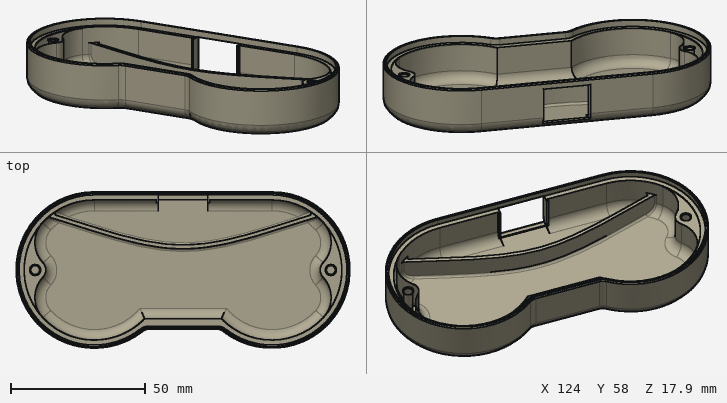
import cadquery as cq
import math

length = 124.0
depth = 58.0
height = 17.9
lobe_radius = depth / 2
lobe_x = length / 2 - lobe_radius
front_y = -22.0
waist_radius = 4.0
bottom_chamfer = 2.5
bottom_rounding = 4.0
rim_chamfer = 0.5

lip_thickness = 1.1
lip_height = 2.5
ledge_z = height - lip_height

wall = 3.0
floor_z = 1.0
cavity_radius = lobe_radius - wall
cavity_front_y = -18.1
floor_rounding = 4.0

boss_x = 54.9
boss_radius = 4.0
boss_blend_radius = 10.9
boss_drop = 0.2
boss_top_z = ledge_z - boss_drop
hole_diameter = 3.3
hole_mouth_diameter = 4.1
hole_depth = 9.9

window_width = 18.2
sill_z = 1.5
rib_width = 0.7
rib_depth = 1.1

divider_thickness = 1.5
divider_top_z = 9.3
divider_middle_y = 8.5
divider_end_x = 50.8
divider_end_y = 20.7
divider_end_slope = 0.3
divider_rounding = 0.9


def block(x_range, y_range, z_range):
    """Box between the given limits."""
    sizes = [high - low for low, high in (x_range, y_range, z_range)]
    corner = (x_range[0], y_range[0], z_range[0])
    return cq.Workplane("XY").box(*sizes, centered=False).translate(corner)


def shell_outline(inset, z):
    """Outer outline at height z, moved inwards by inset, with rounded waist corners."""
    radius = lobe_radius - inset
    front = front_y + inset
    waist = waist_radius + inset
    waist_y = front - waist
    reach = radius + waist
    waist_x = lobe_x - math.sqrt(reach**2 - waist_y**2)
    tangent_x = lobe_x + (waist_x - lobe_x) * radius / reach
    tangent_y = waist_y * radius / reach
    tangent_angle = math.atan2(tangent_y - waist_y, tangent_x - waist_x)
    middle_angle = (math.pi / 2 + tangent_angle) / 2
    middle_x = waist_x + waist * math.cos(middle_angle)
    middle_y = waist_y + waist * math.sin(middle_angle)
    return (
        cq.Workplane("XY", origin=(0, 0, z))
        .moveTo(-lobe_x, radius)
        .lineTo(lobe_x, radius)
        .threePointArc((lobe_x + radius, 0), (tangent_x, tangent_y))
        .threePointArc((middle_x, middle_y), (waist_x, front))
        .lineTo(-waist_x, front)
        .threePointArc((-middle_x, middle_y), (-tangent_x, tangent_y))
        .threePointArc((-lobe_x - radius, 0), (-lobe_x, radius))
        .close()
    )


def outer_body():
    """Solid body with a chamfered, softened bottom and a small rim chamfer."""
    body = shell_outline(0, 0).extrude(height)
    body = body.faces("<Z").chamfer(bottom_chamfer)
    body = body.edges(
        cq.selectors.BoxSelector(
            (-length, -depth, bottom_chamfer / 2),
            (length, depth, bottom_chamfer * 1.5),
        )
    ).fillet(bottom_rounding)
    return body.faces(">Z").chamfer(rim_chamfer)


def lobe_outline():
    """Right lobe of the cavity, swerving around the screw boss."""
    boss_to_blend = boss_radius + boss_blend_radius
    lobe_to_blend = cavity_radius - boss_blend_radius
    spacing = boss_x - lobe_x
    offset_x = (lobe_to_blend**2 - boss_to_blend**2 + spacing**2) / (2 * spacing)
    blend_x = lobe_x + offset_x
    blend_y = math.sqrt(lobe_to_blend**2 - offset_x**2)
    lobe_angle = math.atan2(blend_y, offset_x)
    boss_angle = math.atan2(blend_y, boss_x - blend_x)
    blend_angle = (lobe_angle - boss_angle) / 2
    lobe_tangent_x = lobe_x + cavity_radius * math.cos(lobe_angle)
    lobe_tangent_y = cavity_radius * math.sin(lobe_angle)
    boss_tangent_x = boss_x - boss_radius * math.cos(boss_angle)
    boss_tangent_y = boss_radius * math.sin(boss_angle)
    blend_middle_x = blend_x + boss_blend_radius * math.cos(blend_angle)
    blend_middle_y = blend_y + boss_blend_radius * math.sin(blend_angle)
    return (
        cq.Workplane("XY", origin=(0, 0, floor_z))
        .moveTo(lobe_tangent_x, -lobe_tangent_y)
        .threePointArc((lobe_x - cavity_radius, 0), (lobe_tangent_x, lobe_tangent_y))
        .threePointArc((blend_middle_x, blend_middle_y), (boss_tangent_x, boss_tangent_y))
        .threePointArc((boss_x - boss_radius, 0), (boss_tangent_x, -boss_tangent_y))
        .threePointArc((blend_middle_x, -blend_middle_y), (lobe_tangent_x, -lobe_tangent_y))
        .close()
    )


def cavity():
    """Space inside the walls, with a rounded floor edge."""
    lobe = lobe_outline().extrude(height).faces("<Z").edges().fillet(floor_rounding)
    middle = block(
        (-lobe_x, lobe_x),
        (cavity_front_y, cavity_radius),
        (floor_z, floor_z + height),
    )
    middle = middle.edges("|X and <Z").fillet(floor_rounding)
    return middle.union(lobe).union(lobe.mirror("YZ"))


def divider_edge(plan, start_side, offset):
    """Add one long edge of the divider, from the end at start_side to the other end."""
    end_y = divider_end_y + offset
    return plan.lineTo(start_side * divider_end_x, end_y).spline(
        [(0, divider_middle_y + offset), (-start_side * divider_end_x, end_y)],
        tangents=[(-start_side, -divider_end_slope), (-start_side, divider_end_slope)],
        includeCurrent=True,
    )


def divider():
    """Curved wall that splits the cavity, reaching below the floor surface."""
    half = divider_thickness / 2
    plan = cq.Workplane("XY").moveTo(-divider_end_x, divider_end_y - half)
    plan = divider_edge(plan, -1, half)
    plan = divider_edge(plan, 1, -half)
    return plan.close().extrude(divider_top_z)


def divided_cavity():
    """Cavity less the divider, rounded where the divider meets floor and walls."""
    space = cavity().cut(divider())
    joints = (
        space.faces("%EXTRUSION")
        .edges()
        .filter(lambda edge: edge.Center().z < divider_top_z - divider_rounding)
    )
    return joints.fillet(divider_rounding)


def boss_recess():
    """Space above the boss tops, bounded by the full lobe circles."""
    return (
        cq.Workplane("XY", origin=(0, 0, boss_top_z))
        .pushPoints([(-lobe_x, 0), (lobe_x, 0)])
        .circle(cavity_radius)
        .extrude(height)
    )


def screw_hole():
    """Blind hole with a chamfered mouth, its axis on Z and its mouth at boss height."""
    hole_radius = hole_diameter / 2
    mouth_radius = hole_mouth_diameter / 2
    mouth_depth = mouth_radius - hole_radius
    return (
        cq.Workplane("XZ")
        .moveTo(0, boss_top_z)
        .lineTo(mouth_radius, boss_top_z)
        .lineTo(hole_radius, boss_top_z - mouth_depth)
        .lineTo(hole_radius, boss_top_z - hole_depth)
        .lineTo(0, boss_top_z - hole_depth)
        .close()
        .revolve(360, (0, 0), (0, 1))
    )


def add_window(body):
    """Flank the window with ribs, then cut it below the lip and clear the floor edge."""
    half = window_width / 2
    rib_x = half + rib_width
    ribs = block(
        (-rib_x, rib_x),
        (cavity_radius - rib_depth, cavity_radius + wall / 2),
        (floor_z, ledge_z),
    )
    opening = block((-half, half), (cavity_radius, depth), (sill_z, ledge_z))
    floor_clearance = block(
        (-half, half),
        (cavity_radius - floor_rounding, cavity_radius),
        (floor_z, ledge_z),
    )
    return body.union(ribs).cut(opening).cut(floor_clearance)


result = outer_body()
result = result.cut(shell_outline(lip_thickness, ledge_z).extrude(height))
result = result.cut(boss_recess())
result = result.cut(divided_cavity())
result = add_window(result)
for side in (-1, 1):
    result = result.cut(screw_hole().translate((side * boss_x, 0, 0)))